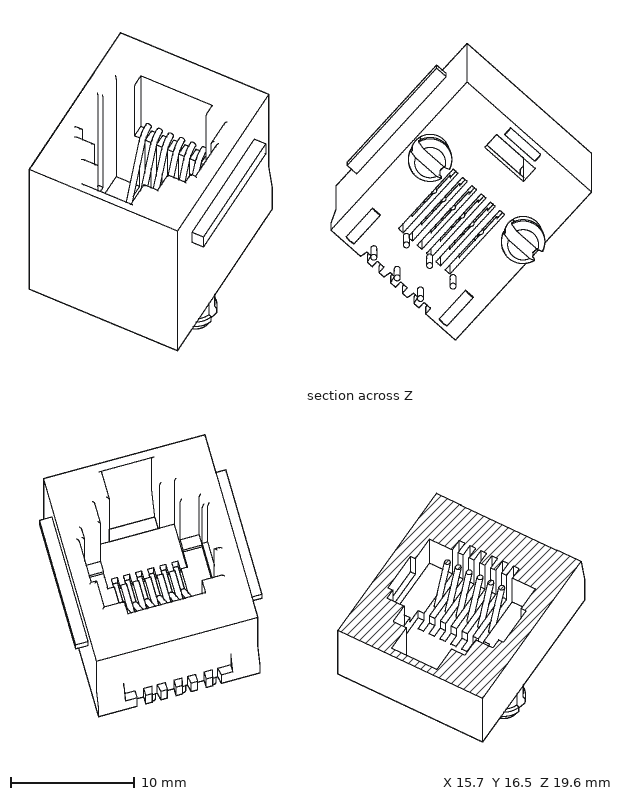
import cadquery as cq
import math


total_height = 19.6
peg_length = 3.8
body_height = total_height - peg_length
body_width = 13.6
body_depth = 15.9
ramp_step = 0.6
full_depth = body_depth + ramp_step
ramp_low = 2.8
ramp_high = 6.23

overall_width = 15.7
rail_front = 2.53
rail_back = 13.37
rail_bottom = 11.45
rail_top = 12.75

mouth_radius = 0.22
main_width = 9.9
main_front = 4.85
main_back = 11.65
main_floor = 2.75
ledge_back = 5.75
ledge_height = 0.59
wing_width = 10.82
wing_front = 5.76
wing_back = 9.37
wing_floor = 3.92
tab_width = 6.7
tab_front = 3.05
tab_back = 7.05
tab_floor = 1.76
notch_width = 6.55
notch_back = 12.74
notch_floor = 9.13

latch_width = 4.21
latch_front = 0.69
latch_lean = 0.95
latch_lean_height = 5.3

contact_count = 6
contact_pitch = 1.02
wire_diameter = 0.49
wire_anchor = 0.78
wire_height = 9.65
wire_bend_radius = 1.27
wire_tip_y = 8.75
wire_lean = 68.0
wire_slot_width = 0.5
wire_slot_front = 6.12

pin_pitch = 1.27
pin_length = 3.5
pin_diameter = 0.49
pin_row_front = 12.78
pin_row_back = 15.3
comb_width = 9.02
groove_width = 0.73
groove_root_width = 0.45

peg_x = 5.08
peg_y = 6.39
peg_radius = 3.15 / 2
collar_radius = 1.76
collar_top = -2.04
collar_bottom = -2.8
peg_tip_radius = 1.25
peg_slot_width = 0.98
peg_slot_top = -0.04

front_standoff_radius = 0.37
front_standoff_length = 3.3
front_standoff_y = 0.82
side_standoff_radius = 0.43
side_standoff_front = 12.88
side_standoff_back = 16.07


def block(width, front, back, bottom, top):
    """Box centred on X between two Y and two Z positions."""
    return (
        cq.Workplane("XY")
        .box(width, back - front, top - bottom, centered=(True, False, False))
        .translate((0, front, bottom))
    )


def side_prism(points, width):
    """(Y, Z) polygon extruded along X, centred on X."""
    return cq.Workplane("YZ").polyline(points).close().extrude(width / 2, both=True)


def row_positions(pitch):
    """X positions of a centred row of contacts."""
    return [(i - (contact_count - 1) / 2) * pitch for i in range(contact_count)]


def make_body():
    profile = [
        (0, 0),
        (full_depth, 0),
        (full_depth, ramp_low),
        (body_depth, ramp_high),
        (body_depth, body_height),
        (0, body_height),
    ]
    rails = block(overall_width, rail_front, rail_back, rail_bottom, rail_top)
    return side_prism(profile, body_width).union(rails)


def make_cavity():
    """Stepped plug opening, including the latch channel run past its front wall."""
    main = block(main_width, main_front, main_back, main_floor, body_height)
    ledge = block(main_width, main_front, ledge_back, main_floor, main_floor + ledge_height)
    wings = block(wing_width, wing_front, wing_back, wing_floor, body_height)
    tab = block(tab_width, tab_front, tab_back, tab_floor, body_height)
    latch = block(latch_width, latch_front - mouth_radius, tab_front, 0, body_height)
    return main.cut(ledge).union(wings).union(tab).union(latch)


def make_latch_wall():
    """Front wall of the latch channel, square at the top and leaning near the bottom."""
    profile = [
        (0, 0),
        (latch_front + latch_lean, 0),
        (latch_front, latch_lean_height),
        (latch_front, body_height),
        (0, body_height),
    ]
    return side_prism(profile, latch_width + 2 * mouth_radius)


def make_comb_cutter():
    """Flat shelf across the ramp, notched by alternating tapered and straight grooves."""
    cutter = block(comb_width, body_depth, full_depth, ramp_low, ramp_high)
    for i, x in enumerate(row_positions(pin_pitch)):
        root_width = groove_root_width if i % 2 == 0 else groove_width
        groove = (
            cq.Workplane("XY")
            .polyline([
                (x - root_width / 2, body_depth),
                (x + root_width / 2, body_depth),
                (x + groove_width / 2, full_depth),
                (x - groove_width / 2, full_depth),
            ])
            .close()
            .extrude(ramp_low)
        )
        cutter = cutter.union(groove)
    return cutter


def make_wire(x):
    """Wire leaving the back wall, bending down and leaning into the cavity."""
    lean = math.radians(wire_lean)
    start_y = notch_back + wire_anchor
    bend_z = wire_height - wire_bend_radius

    def on_bend(angle):
        return (
            notch_back - wire_bend_radius * math.sin(angle),
            bend_z + wire_bend_radius * math.cos(angle),
        )

    bend_end_y, bend_end_z = on_bend(lean)
    tip_z = bend_end_z - (bend_end_y - wire_tip_y) * math.tan(lean)
    path = (
        cq.Workplane("YZ", origin=(x, 0, 0))
        .moveTo(start_y, wire_height)
        .lineTo(notch_back, wire_height)
        .threePointArc(on_bend(lean / 2), (bend_end_y, bend_end_z))
        .lineTo(wire_tip_y, tip_z)
    )
    return (
        cq.Workplane("XZ", origin=(x, start_y, wire_height))
        .circle(wire_diameter / 2)
        .sweep(path)
    )


def make_peg(x):
    """Split snap peg with a collar and a tapered tip."""
    collar_chamfer = collar_radius - peg_radius
    peg = (
        cq.Workplane("XZ")
        .polyline([
            (0, 0),
            (peg_radius, 0),
            (peg_radius, collar_top),
            (collar_radius, collar_top - collar_chamfer),
            (collar_radius, collar_bottom),
            (peg_tip_radius, -peg_length),
            (0, -peg_length),
        ])
        .close()
        .revolve(360, (0, 0), (0, 1))
    )
    half_slot = peg_slot_width / 2
    arch_z = peg_slot_top - half_slot
    slot = (
        cq.Workplane("YZ")
        .moveTo(-half_slot, -peg_length)
        .lineTo(-half_slot, arch_z)
        .threePointArc((0, peg_slot_top), (half_slot, arch_z))
        .lineTo(half_slot, -peg_length)
        .close()
        .extrude(collar_radius, both=True)
    )
    return peg.cut(slot).translate((x, peg_y, 0))


def make_standoffs():
    """Half-round feet: one across the front and one along each side at the back."""
    feet = (
        cq.Workplane("YZ", origin=(0, front_standoff_y, 0))
        .circle(front_standoff_radius)
        .extrude(front_standoff_length / 2, both=True)
    )
    for x in (-peg_x, peg_x):
        foot = (
            cq.Workplane("XZ", origin=(x, side_standoff_back, 0))
            .circle(side_standoff_radius)
            .extrude(side_standoff_back - side_standoff_front)
        )
        feet = feet.union(foot)
    return feet


opened_body = make_body().cut(make_cavity())
mouth_zone = cq.selectors.BoxSelector(
    (-wing_width / 2 - mouth_radius, mouth_radius, body_height - mouth_radius),
    (wing_width / 2 + mouth_radius, main_back + mouth_radius, body_height + mouth_radius),
)
mouth_edges = opened_body.faces(">Z").edges(mouth_zone)
result = mouth_edges.fillet(mouth_radius).union(make_latch_wall())
result = result.cut(block(notch_width, main_front, notch_back, notch_floor, body_height))
result = result.union(make_standoffs()).cut(make_comb_cutter())

for x in row_positions(contact_pitch):
    wire_slot = block(wire_slot_width, wire_slot_front, notch_back, 0, notch_floor)
    result = result.cut(wire_slot.translate((x, 0, 0)))
for x in row_positions(contact_pitch):
    result = result.union(make_wire(x))

for i, x in enumerate(row_positions(pin_pitch)):
    y = pin_row_back if i % 2 == 0 else pin_row_front
    pin = cq.Workplane("XY").center(x, y).circle(pin_diameter / 2).extrude(-pin_length)
    result = result.union(pin)

for x in (-peg_x, peg_x):
    result = result.union(make_peg(x))